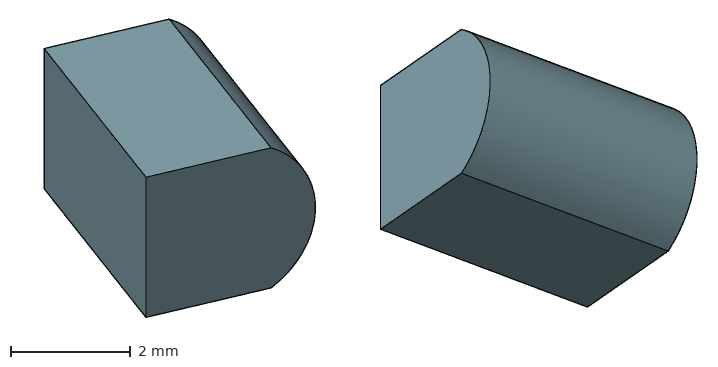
import cadquery as cq

length = 4.3
depth = 3.09
height = 2.8

flat_depth = 2.28

profile = (
    cq.Workplane("YZ")
    .moveTo(0, -height / 2)
    .lineTo(flat_depth, -height / 2)
    .threePointArc((depth, 0), (flat_depth, height / 2))
    .lineTo(0, height / 2)
    .close()
)

result = profile.extrude(length)